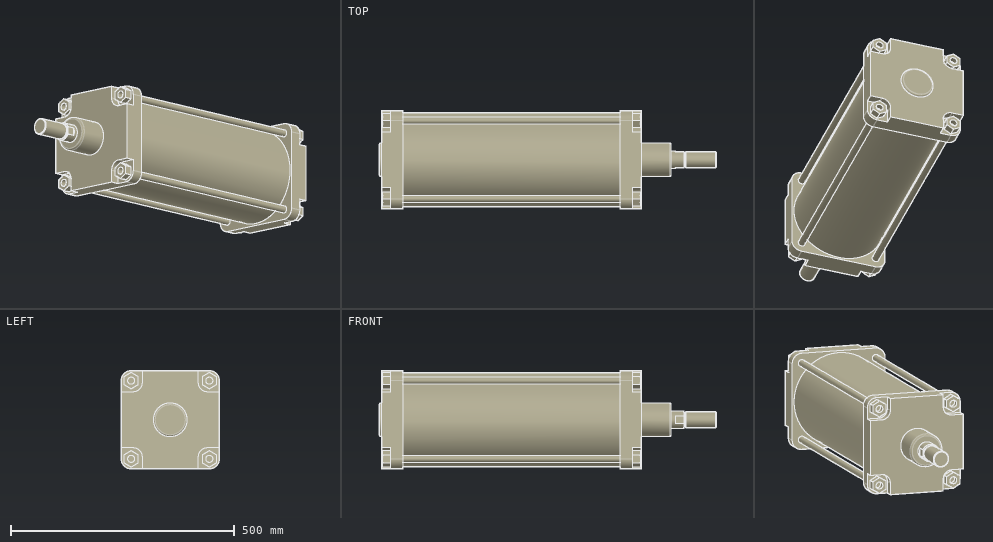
import cadquery as cq
import math


overall_length = 753.0
rear_boss_length = 5.0
cap_thickness = 47.5
barrel_length = 486.0
front_boss_length = 66.0

cap_width = 220.0
cap_corner_radius = 22.5
boss_diameter = 75.0
boss_fillet = 4.0
pocket_size = 47.5
pocket_depth = 20.0
pocket_corner_radius = 20.0

barrel_diameter = 211.0

tie_rod_diameter = 16.0
tie_rod_offset = cap_width / 2 - cap_corner_radius
nut_across_flats = 32.0
nut_height = 18.0
nut_bore_depth = 15.0

rod_diameter = 40.0
rod_plain_length = 10.0
rod_across_flats = 36.0
flats_length = 19.0
thread_diameter = 36.0
neck_length = 3.0
thread_chamfer = 1.5
neck_diameter = thread_diameter - 2 * thread_chamfer

rear_cap_x = rear_boss_length
barrel_x = rear_cap_x + cap_thickness
front_cap_x = barrel_x + barrel_length
front_boss_x = front_cap_x + cap_thickness
rod_x = front_boss_x + front_boss_length
flats_x = rod_x + rod_plain_length
neck_x = flats_x + flats_length
thread_x = neck_x + neck_length
sides = (-tie_rod_offset, tie_rod_offset)
corners = [(y, z) for y in sides for z in sides]


def cylinder_x(x, length, diameter):
    """Solid cylinder on the main axis, running toward +X from the given x."""
    return cq.Workplane("YZ", origin=(x, 0, 0)).circle(diameter / 2).extrude(length)


def corner_pocket(y, z):
    """Nut pocket at one cap corner, open to both outer sides, with its inner corner rounded."""
    middle = cap_width / 2 - pocket_size / 2
    pocket = (
        cq.Workplane("YZ")
        .center(math.copysign(middle, y), math.copysign(middle, z))
        .rect(pocket_size, pocket_size)
        .extrude(pocket_depth)
    )
    inner_side_y = "<Y" if y > 0 else ">Y"
    inner_side_z = "<Z" if z > 0 else ">Z"
    return pocket.faces(inner_side_y).edges(inner_side_z).fillet(pocket_corner_radius)


def make_cap(boss_length):
    """End cap with its outer face at x = 0, its body toward +X and its boss toward -X."""
    cap = (
        cq.Workplane("YZ")
        .rect(cap_width, cap_width)
        .extrude(cap_thickness)
        .edges("|X")
        .fillet(cap_corner_radius)
    )
    for y, z in corners:
        cap = cap.cut(corner_pocket(y, z))
    rod_holes = cq.Workplane("YZ").pushPoints(corners).circle(tie_rod_diameter / 2).extrude(cap_thickness)
    boss = cylinder_x(-boss_length, boss_length, boss_diameter).faces("<X").fillet(boss_fillet)
    return cap.cut(rod_holes).union(boss)


def make_tie_rod(y, z):
    """Tie rod with a bored hexagon nut at each end, seated on the two pocket floors."""
    rear_seat_x = rear_cap_x + pocket_depth
    front_seat_x = front_boss_x - pocket_depth
    tie_rod = (
        cq.Workplane("YZ", origin=(rear_seat_x, y, z))
        .circle(tie_rod_diameter / 2)
        .extrude(front_seat_x - rear_seat_x)
    )
    hexagon_half_side_angle = math.pi / 6
    across_corners = nut_across_flats / math.cos(hexagon_half_side_angle)
    for seat_x, outward in ((rear_seat_x, -1), (front_seat_x, 1)):
        nut = (
            cq.Workplane("YZ", origin=(seat_x, y, z))
            .transformed(rotate=(0, 0, 90))
            .polygon(6, across_corners)
            .extrude(outward * nut_height)
        )
        bore = (
            cq.Workplane("YZ", origin=(seat_x + outward * nut_height, y, z))
            .circle(tie_rod_diameter / 2)
            .extrude(-outward * nut_bore_depth)
        )
        tie_rod = tie_rod.union(nut).cut(bore)
    return tie_rod


def make_piston_rod():
    """Rod end with two wrench flats facing -Y and +Y, a neck and a plain cylinder for the thread,
    chamfered at both ends."""
    shank = cylinder_x(rod_x, neck_x - rod_x, rod_diameter)
    for side in (-1, 1):
        flat_cutter = cq.Workplane("XY").box(
            flats_length, rod_diameter, rod_diameter, centered=(False, True, True)
        )
        flat_centre_y = side * (rod_across_flats + rod_diameter) / 2
        shank = shank.cut(flat_cutter.translate((flats_x, flat_centre_y, 0)))
    neck = cylinder_x(neck_x, neck_length, neck_diameter)
    thread = cylinder_x(thread_x, overall_length - thread_x, thread_diameter)
    thread = thread.edges("%CIRCLE").chamfer(thread_chamfer)
    return shank.union(neck).union(thread)


rear_cap = make_cap(rear_boss_length).translate((rear_cap_x, 0, 0))
front_cap = make_cap(front_boss_length).mirror("YZ").translate((front_boss_x, 0, 0))
barrel = cylinder_x(barrel_x, barrel_length, barrel_diameter)
piston_rod = make_piston_rod()
tie_rods = [make_tie_rod(y, z) for y, z in corners]

result = cq.Compound.makeCompound(
    [rear_cap.val(), front_cap.val(), barrel.val(), piston_rod.val(), *[rod.val() for rod in tie_rods]]
)